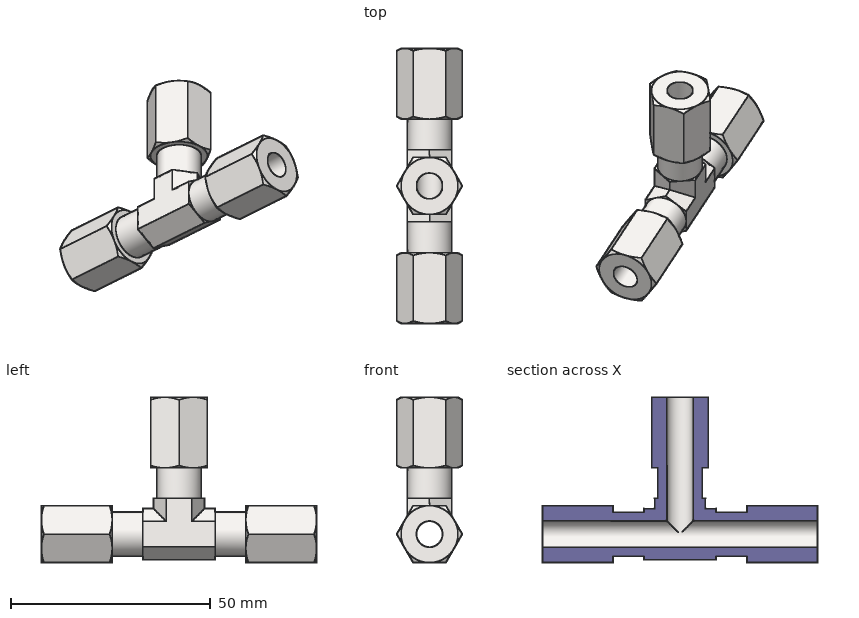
import cadquery as cq
import math

run_reach = 34.4
nut_across_corners = 16.45
total_height = 41.4
nut_length = 17.7
body_across_flats = 11.15
body_reach = 9.0
bore_diameter = 6.5
chamfer_angle = 30.0

cos_30 = math.cos(math.radians(30))
nut_across_flats = nut_across_corners * cos_30
body_across_corners = body_across_flats / cos_30
branch_reach = total_height - nut_across_flats / 2
corner_radius = nut_across_corners / 2
face_radius = nut_across_flats / 2
chamfer_height = (corner_radius - face_radius) * math.tan(math.radians(chamfer_angle))

branch_plane = cq.Plane(origin=(0, 0, 0), xDir=(1, 0, 0), normal=(0, 0, 1))
front_plane = cq.Plane(origin=(0, 0, 0), xDir=(1, 0, 0), normal=(0, -1, 0))
back_plane = cq.Plane(origin=(0, 0, 0), xDir=(1, 0, 0), normal=(0, 1, 0))
arms = [(branch_plane, branch_reach), (front_plane, run_reach), (back_plane, run_reach)]


def make_nut(plane, reach):
    """Hexagonal nut with corners on X and conical chamfers at both ends."""
    inner_end = reach - nut_length
    prism = cq.Workplane(plane).workplane(offset=inner_end).polygon(6, nut_across_corners).extrude(nut_length)
    envelope = (
        cq.Workplane("XZ")
        .moveTo(0, inner_end)
        .lineTo(face_radius, inner_end)
        .lineTo(corner_radius, inner_end + chamfer_height)
        .lineTo(corner_radius, reach - chamfer_height)
        .lineTo(face_radius, reach)
        .lineTo(0, reach)
        .close()
        .revolve(360, (0, 0, 0), (0, 1, 0))
    )
    placed_envelope = cq.Workplane(envelope.val().located(cq.Location(plane)))
    return prism.intersect(placed_envelope)


def make_arm(plane, reach):
    """One outlet: hexagonal body with flats on X, round neck and nut."""
    body = (
        cq.Workplane(plane)
        .transformed(rotate=(0, 0, 30))
        .polygon(6, body_across_corners)
        .extrude(body_reach)
    )
    neck_length = reach - nut_length - body_reach
    neck = (
        cq.Workplane(plane)
        .workplane(offset=body_reach)
        .circle(body_across_flats / 2)
        .extrude(neck_length)
    )
    return body.union(neck).union(make_nut(plane, reach))


result = make_arm(*arms[0])
for plane, reach in arms[1:]:
    result = result.union(make_arm(plane, reach))

for plane, reach in arms:
    bore = cq.Workplane(plane).circle(bore_diameter / 2).extrude(reach)
    result = result.cut(bore)